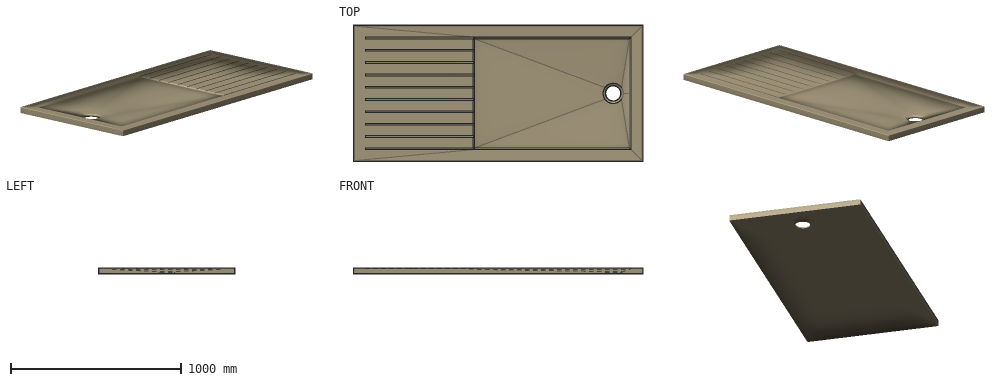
import cadquery as cq

length = 1700.0
width = 800.0
height = 35.0
edge_radius = 3.0
rim_inset = 5.0

border_width = 70.0
deck_length = 700.0
basin_edge_drop = 2.0

wall_run = 10.0
wall_drop = 7.1

drain_x = 675.0
drain_ring_radius = 60.0
drain_hole_radius = 45.0
floor_drop = 12.8
funnel_drop = 7.0

groove_count = 10
groove_width = 10.0
groove_depth = 3.0
groove_start = 70.0

rim_end = length / 2 - rim_inset
rim_side = width / 2 - rim_inset
basin_left = -length / 2 + deck_length
basin_right = length / 2 - border_width
basin_side = width / 2 - border_width
floor_left = basin_left + wall_run
floor_right = basin_right - wall_run
floor_side = basin_side - wall_run
basin_edge_z = height - basin_edge_drop
floor_edge_z = basin_edge_z - wall_drop
drain_ring_z = floor_edge_z - floor_drop
drain_hole_z = drain_ring_z - funnel_drop


def rectangle(left, right, side, z):
    """Level rectangle, symmetric about the X axis."""
    corners = [(left, -side, z), (right, -side, z), (right, side, z), (left, side, z)]
    return cq.Wire.makePolygon([cq.Vector(*corner) for corner in corners], close=True)


def drain_circle(radius, z):
    """Level circle about the drain axis."""
    return cq.Wire.makeCircle(radius, cq.Vector(drain_x, 0, z), cq.Vector(0, 0, 1))


def make_body():
    """Plain slab with rounded top and corner edges."""
    slab = cq.Workplane().box(length, width, height, centered=(True, True, False))
    return slab.edges("|Z or >Z").fillet(edge_radius)


def make_basin_layers():
    """Solids to remove below the rim, each a straight-sided loft between two outlines."""
    outlines = [
        rectangle(-rim_end, rim_end, rim_side, height),
        rectangle(basin_left, basin_right, basin_side, basin_edge_z),
        rectangle(floor_left, floor_right, floor_side, floor_edge_z),
        drain_circle(drain_ring_radius, drain_ring_z),
        drain_circle(drain_hole_radius, drain_hole_z),
        drain_circle(drain_hole_radius, 0),
    ]
    return [
        cq.Solid.makeLoft([upper, lower], ruled=True)
        for upper, lower in zip(outlines, outlines[1:])
    ]


def groove_bottom_z(x):
    """Height of a groove bottom, which stays parallel to the sloping deck."""
    deck_slope = basin_edge_drop / (basin_left + rim_end)
    return height - deck_slope * (x + rim_end) - groove_depth


def make_grooves():
    """Solids for the evenly spaced deck grooves, the outer two flush with the basin sides."""
    start = -length / 2 + groove_start
    profile = [
        (start, groove_bottom_z(start)),
        (floor_left, groove_bottom_z(floor_left)),
        (floor_left, height),
        (start, height),
    ]
    spacing = (2 * basin_side - groove_width) / (groove_count - 1)
    grooves = []
    for index in range(groove_count):
        near_side = -basin_side + index * spacing
        plane = cq.Workplane("XZ", origin=(0, near_side, 0))
        grooves.append(plane.polyline(profile).close().extrude(-groove_width))
    return grooves


result = make_body()
for removed in make_basin_layers() + make_grooves():
    result = result.cut(removed)